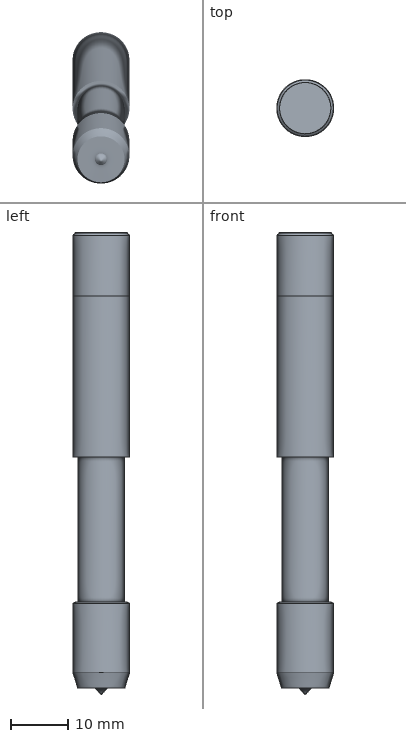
import cadquery as cq

total_height = 81.0
body_diameter = 10.0
neck_diameter = 8.2
body_radius = body_diameter / 2
neck_radius = neck_diameter / 2

point_radius = 1.05
point_height = 1.1
nose_radius = 4.1
nose_height = 2.75

collar_top = 16.3
neck_top = 41.6
cap_bottom = 69.9

collar_chamfer_width = 0.6
collar_chamfer_height = 0.3
cap_chamfer = 0.5


def make_shaft():
    """Turned shaft: point, tapered nose, collar, neck and thick upper length."""
    nose_top = point_height + nose_height
    profile = [
        (0, 0),
        (point_radius, point_height),
        (nose_radius, point_height),
        (body_radius, nose_top),
        (body_radius, collar_top - collar_chamfer_height),
        (body_radius - collar_chamfer_width, collar_top),
        (neck_radius, collar_top),
        (neck_radius, neck_top),
        (body_radius, neck_top),
        (body_radius, cap_bottom),
        (0, cap_bottom),
    ]
    return cq.Workplane("XZ").polyline(profile).close().revolve(360, (0, 0), (0, 1))


def make_cap():
    """Plain cylinder on the flat end of the shaft, with a chamfered top edge."""
    cap_height = total_height - cap_bottom
    cap = cq.Workplane("XY").workplane(offset=cap_bottom).circle(body_radius).extrude(cap_height)
    return cap.faces(">Z").edges().chamfer(cap_chamfer)


shaft = make_shaft()
cap = make_cap()

result = cq.Compound.makeCompound([shaft.val(), cap.val()])